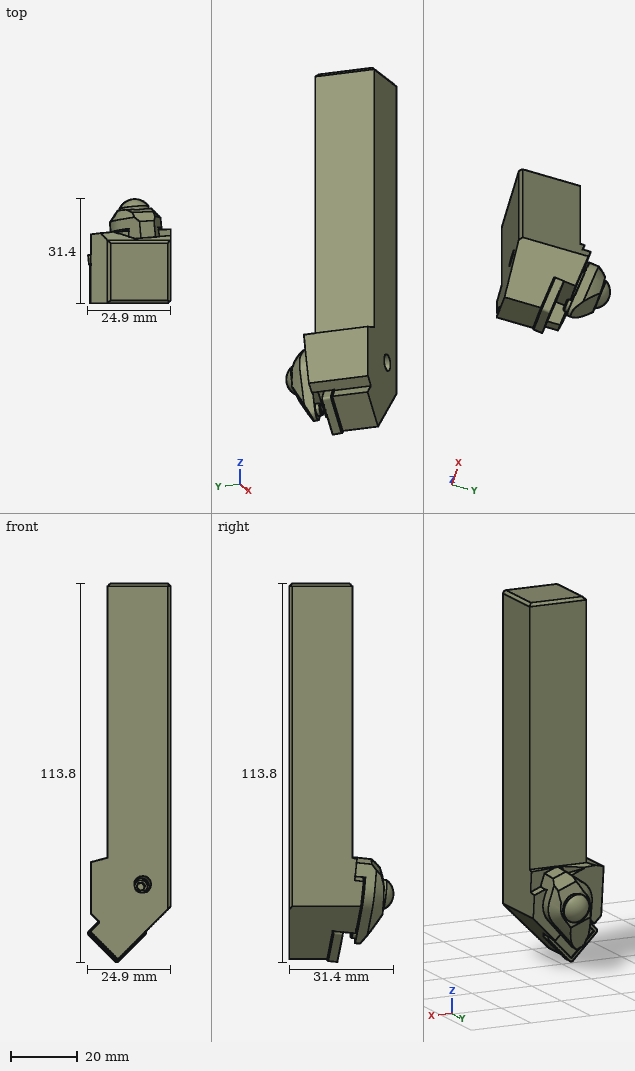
import cadquery as cq
import math

total_height = 113.8
shank_size = 19.05
edge_chamfer = 0.95

head_left = -4.94
step_height = 31.4
step_angle = 15.0
head_depth = 28.0
lower_right_difference = 2.3
lower_left_sum = 4.05
notch_difference = -14.55
notch_sum = 9.55

face_tilt = math.radians(8.0)
face_heading = math.radians(40.0)
screw_x = 8.7
screw_z = 21.1
face_height = 21.08
face_block = 80.0

slot_floor = -2.65
slot_top = 0.9
slot_front = -6.5
slot_back = -20.0
slot_ramp_start = 3.9
slot_ramp_run = 7.6

insert_size = 12.7
insert_thickness = 3.18
insert_corner = 0.8
insert_chamfer = 0.4
insert_land = 1.0
insert_recess = 0.3
insert_center = (2.758, 15.33, 8.612)
insert_tilt = math.radians(8.0)
pocket_reach = 14.0
pocket_height = 20.0

clamp_heading = math.radians(20.0)
clamp_gap = 0.8
wall_top = 3.9
clamp_radius = 7.7
crown_radius = 4.6
nose_distance = 14.1
nose_radius = 2.2
ridge_nose_radius = 1.3
tail_distance = 7.8
tail_radius = 3.2
ridge_tail_radius = 1.8
tail_end = -10.0
tail_shoulder = 2.4
tail_slope_end = (-7.2, 5.5)
crown_back = (-4.0, 6.8)
crown_front = (5.0, 7.6)
nose_top = 2.0
crown_height = 3.8
nose_end = nose_distance + nose_radius

screw_radius = 2.5
screw_bottom = -15.6
screw_end_chamfer = 0.6
socket_diameter = 2.6
socket_depth = 2.0
head_seat = 6.0
head_radius = 4.45
head_side_top = 7.7
dome_top = 10.36
washer_radius = 4.4
pad_radius = 1.9
pad_distance = 12.9
pad_length = 1.6
pad_chamfer = 0.4


def leaning_normal(tilt, heading):
    """Unit vector near +Y, leaning by tilt towards -Z turned by heading towards -X."""
    return cq.Vector(
        -math.sin(tilt) * math.sin(heading),
        math.cos(tilt),
        -math.sin(tilt) * math.cos(heading),
    )


face_normal = leaning_normal(face_tilt, face_heading)
flat_direction = cq.Vector(-math.sin(clamp_heading), 0, -math.cos(clamp_heading))
nose_direction = flat_direction - face_normal * flat_direction.dot(face_normal)
clamp_plane = cq.Plane((screw_x, face_height, screw_z), nose_direction, face_normal)

insert_normal = leaning_normal(insert_tilt, math.radians(45))
insert_plane = cq.Plane(insert_center, cq.Vector(1, 0, -1), insert_normal)


def on_clamp(height):
    """Workplane at a height above the clamping face, centred on the screw axis."""
    return cq.Workplane(clamp_plane).workplane(offset=height)


def disc(radius, bottom, top):
    return on_clamp(bottom).circle(radius).extrude(top - bottom)


def crossing(total, difference):
    """Point where the lines x + z = total and x - z = difference meet."""
    return ((total + difference) / 2, (total - difference) / 2)


def make_heel_slot(back):
    """Prism across the clamp, its floor open to the right and ramping up on the left."""
    slot_plane = cq.Plane(on_clamp(0).center(back, 0).plane.origin, clamp_plane.yDir, nose_direction)
    return (
        cq.Workplane(slot_plane)
        .moveTo(slot_ramp_start, slot_floor)
        .lineTo(-face_block, slot_floor)
        .lineTo(-face_block, slot_top)
        .lineTo(slot_ramp_start + slot_ramp_run, slot_top)
        .close()
        .extrude(slot_front - back)
    )


def make_head():
    rise = math.tan(math.radians(step_angle))
    outline = [
        (head_left, step_height + head_left * rise),
        (head_left, notch_sum - head_left),
        crossing(notch_sum, notch_difference),
        crossing(lower_left_sum, notch_difference),
        crossing(lower_left_sum, lower_right_difference),
        (shank_size, shank_size - lower_right_difference),
        (shank_size, step_height),
        (0, step_height),
    ]
    head = cq.Workplane("XZ").polyline(outline).close().extrude(-head_depth)
    above_face = cq.Workplane(clamp_plane).rect(face_block, face_block).extrude(face_block)
    slope_run = head_depth - shank_size
    back_slope = (
        cq.Workplane("YZ", origin=(head_left, 0, 0))
        .moveTo(shank_size, step_height)
        .lineTo(head_depth, step_height - slope_run * rise)
        .lineTo(head_depth, step_height)
        .close()
        .extrude(shank_size - head_left)
    )
    return head.cut(above_face).cut(back_slope).cut(make_heel_slot(slot_back))


def make_pocket():
    reach = insert_size / 2 + pocket_reach
    return (
        cq.Workplane(insert_plane)
        .workplane(offset=-insert_thickness)
        .moveTo(-insert_size / 2, -insert_size / 2)
        .lineTo(reach, -insert_size / 2)
        .lineTo(reach, reach)
        .lineTo(-insert_size / 2, reach)
        .close()
        .extrude(pocket_height)
    )


def make_holder():
    shank = (
        cq.Workplane("XY", origin=(0, 0, shank_size))
        .rect(shank_size, shank_size, centered=False)
        .extrude(total_height - shank_size)
        .faces(">Z")
        .chamfer(edge_chamfer)
    )
    body = shank.union(make_head())
    bevel = (
        cq.Workplane("XY")
        .moveTo(shank_size, 0)
        .lineTo(shank_size - edge_chamfer, 0)
        .lineTo(shank_size, edge_chamfer)
        .close()
        .extrude(total_height)
    )
    bore = disc(screw_radius, -2 * face_height, face_height)
    return body.cut(bevel).cut(make_pocket()).cut(bore)


def make_insert():
    body = (
        cq.Workplane(insert_plane)
        .sketch()
        .rect(insert_size, insert_size)
        .vertices()
        .fillet(insert_corner)
        .finalize()
        .extrude(-insert_thickness)
        .faces(cq.selectors.DirectionMinMaxSelector(insert_normal, False))
        .chamfer(insert_chamfer)
    )
    recess_size = insert_size - 2 * insert_land
    recess = cq.Workplane(insert_plane).rect(recess_size, recess_size).extrude(-insert_recess)
    return body.cut(recess)


def clamp_outline(height, middle_radius, nose_end_radius, tail_end_radius):
    """Outline of a rounded nose and tail joined by tangents to a wide round middle."""
    nose_lean = math.asin((middle_radius - nose_end_radius) / nose_distance)
    tail_lean = -math.asin((middle_radius - tail_end_radius) / tail_distance)

    def rim(center, radius, lean, side):
        return (center + radius * math.sin(lean), side * radius * math.cos(lean))

    return (
        on_clamp(height)
        .moveTo(*rim(-tail_distance, tail_end_radius, tail_lean, 1))
        .lineTo(*rim(0, middle_radius, tail_lean, 1))
        .threePointArc((0, middle_radius), rim(0, middle_radius, nose_lean, 1))
        .lineTo(*rim(nose_distance, nose_end_radius, nose_lean, 1))
        .threePointArc(
            (nose_distance + nose_end_radius, 0),
            rim(nose_distance, nose_end_radius, nose_lean, -1),
        )
        .lineTo(*rim(0, middle_radius, nose_lean, -1))
        .threePointArc((0, -middle_radius), rim(0, middle_radius, tail_lean, -1))
        .lineTo(*rim(-tail_distance, tail_end_radius, tail_lean, -1))
        .threePointArc(
            (-tail_distance - tail_end_radius, 0),
            rim(-tail_distance, tail_end_radius, tail_lean, 1),
        )
        .close()
    )


def make_clamp():
    base_radii = (clamp_radius, nose_radius, tail_radius)
    top_radii = (crown_radius, ridge_nose_radius, ridge_tail_radius)
    wall = clamp_outline(clamp_gap, *base_radii).extrude(wall_top - clamp_gap)
    crown = cq.Workplane(
        cq.Solid.makeLoft(
            [
                clamp_outline(wall_top, *base_radii).val(),
                clamp_outline(wall_top + crown_height, *top_radii).val(),
            ],
            True,
        )
    )
    profile_plane = cq.Plane(clamp_plane.origin, nose_direction, clamp_plane.yDir * -1)
    profile = (
        cq.Workplane(profile_plane)
        .moveTo(tail_end, clamp_gap)
        .lineTo(tail_end, tail_shoulder)
        .lineTo(*tail_slope_end)
        .lineTo(*crown_back)
        .lineTo(*crown_front)
        .lineTo(nose_end, nose_top)
        .lineTo(nose_end, clamp_gap)
        .close()
        .extrude(2 * clamp_radius, both=True)
    )
    body = wall.union(crown).intersect(profile)
    heel = (
        clamp_outline(slot_floor, *base_radii)
        .extrude(slot_top - slot_floor)
        .intersect(make_heel_slot(tail_end))
    )
    body = body.union(heel)
    bore = disc(screw_radius, 0, head_seat)
    counterbore = disc(head_radius, head_seat, dome_top)
    return body.cut(bore).cut(counterbore)


def make_screw():
    axis_plane = cq.Plane(clamp_plane.origin, nose_direction, clamp_plane.yDir * -1)
    dome_rise = dome_top - head_side_top
    dome_radius = (head_radius**2 + dome_rise**2) / (2 * dome_rise)
    half_angle = math.asin(head_radius / dome_radius) / 2
    dome_middle = (
        dome_radius * math.sin(half_angle),
        dome_top - dome_radius * (1 - math.cos(half_angle)),
    )
    screw = (
        cq.Workplane(axis_plane)
        .moveTo(0, screw_bottom)
        .lineTo(screw_radius - screw_end_chamfer, screw_bottom)
        .lineTo(screw_radius, screw_bottom + screw_end_chamfer)
        .lineTo(screw_radius, head_seat)
        .lineTo(head_radius, head_seat)
        .lineTo(head_radius, head_side_top)
        .threePointArc(dome_middle, (0, dome_top))
        .close()
        .revolve(360, (0, 0), (0, 1))
    )
    socket = on_clamp(screw_bottom).polygon(6, socket_diameter).extrude(socket_depth)
    return screw.cut(socket)


def make_washer():
    return on_clamp(0).circle(washer_radius).circle(screw_radius).extrude(clamp_gap)


def make_pad():
    pad = on_clamp(clamp_gap).center(pad_distance, 0).circle(pad_radius).extrude(-pad_length)
    return pad.faces(cq.selectors.DirectionMinMaxSelector(face_normal, False)).chamfer(pad_chamfer)


holder = make_holder().solids()
insert = make_insert().solids()
clamp = make_clamp().solids()
screw = make_screw().solids()
washer = make_washer().solids()
pad = make_pad().solids()

result = cq.Compound.makeCompound(
    [holder.val(), insert.val(), clamp.val(), screw.val(), washer.val(), pad.val()]
)